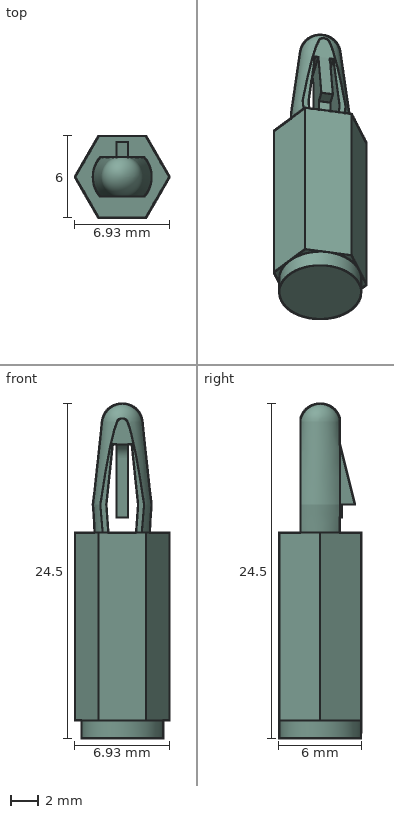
import cadquery as cq
import math

across_flats = 6.0
across_corners = across_flats / math.cos(math.radians(30))
collar_height = 1.32
body_top = 15.05

total_height = 24.5
post_base_radius = 2.03
post_widest_radius = 2.15
widest_z = 17.1
dome_base_radius = 1.5
dome_base_z = 23.15
flat_half_depth = 1.45

slot_base_half = 1.0
slot_widest_half = 1.15
slot_roof_half = 0.69
slot_roof_z = 21.5

tongue_width = 0.85
tongue_bottom_z = 16.15
tongue_front_y = -0.45
tongue_back_y = 1.6
barb_tip_y = 2.55
tongue_root_radius = 1.0


def make_body():
    collar = cq.Workplane("XY").circle(across_flats / 2).extrude(collar_height)
    hexagon = (
        cq.Workplane("XY", origin=(0, 0, collar_height))
        .polygon(6, across_corners)
        .extrude(body_top - collar_height)
    )
    return collar.union(hexagon)


def make_slot():
    return (
        cq.Workplane("XZ")
        .moveTo(-slot_base_half, body_top)
        .lineTo(-slot_widest_half, widest_z)
        .lineTo(-slot_roof_half, slot_roof_z)
        .lineTo(slot_roof_half, slot_roof_z)
        .lineTo(slot_widest_half, widest_z)
        .lineTo(slot_base_half, body_top)
        .close()
        .extrude(post_widest_radius, both=True)
    )


def make_post():
    dome_height = total_height - dome_base_z
    dome_radius = (dome_base_radius**2 + dome_height**2) / (2 * dome_height)
    dome_center_z = total_height - dome_radius
    dome_mid = dome_radius * math.sin(math.radians(45))

    post = (
        cq.Workplane("XZ")
        .moveTo(0, body_top)
        .lineTo(post_base_radius, body_top)
        .lineTo(post_widest_radius, widest_z)
        .lineTo(dome_base_radius, dome_base_z)
        .threePointArc((dome_mid, dome_center_z + dome_mid), (0, total_height))
        .close()
        .revolve(360, (0, 0, 0), (0, 1, 0))
    )
    flats = (
        cq.Workplane("XY", origin=(0, 0, body_top))
        .rect(2 * post_widest_radius, 2 * flat_half_depth)
        .extrude(total_height - body_top)
    )
    return post.intersect(flats).cut(make_slot())


def make_tongue():
    root_offset = tongue_root_radius * (1 - math.sin(math.radians(45)))
    return (
        cq.Workplane("YZ")
        .moveTo(tongue_front_y, tongue_bottom_z)
        .lineTo(tongue_front_y, slot_roof_z - tongue_root_radius)
        .threePointArc(
            (tongue_front_y - root_offset, slot_roof_z - root_offset),
            (tongue_front_y - tongue_root_radius, slot_roof_z),
        )
        .lineTo(flat_half_depth, slot_roof_z)
        .lineTo(barb_tip_y, widest_z)
        .lineTo(tongue_back_y, widest_z)
        .lineTo(tongue_back_y, tongue_bottom_z)
        .close()
        .extrude(tongue_width / 2, both=True)
    )


result = make_body().union(make_post()).union(make_tongue())